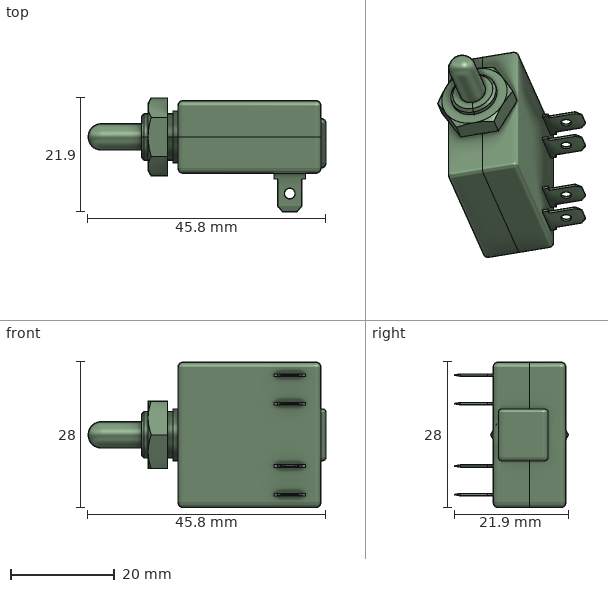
import cadquery as cq
import math


HOUSING_LENGTH = 27.5
HOUSING_WIDTH = 14.0
HOUSING_HEIGHT = 28.0
HOUSING_ROUND = 1.0

COLLAR_DIAMETER = 10.0
COLLAR_LENGTH = 1.0
BUSHING_DIAMETER = 9.0
BUSHING_LENGTH = 7.0
BUSHING_CHAMFER = 0.5

NUT_ACROSS_FLATS = 13.0
NUT_THICKNESS = 3.75
NUT_STANDOFF = 2.0
NUT_CHAMFER_ANGLE = 30.0

LEVER_DIAMETER = 5.1
LEVER_REACH = 17.3

PAD_THICKNESS = 1.0
PAD_TOP_Y = 3.55
PAD_BOTTOM_Y = -6.0
PAD_HEIGHT = 10.0
PAD_SIDE_ROUND = 1.0
PAD_END_ROUND = 0.7

TERMINAL_HEIGHTS = [-11.5, -6.0, 6.0, 11.5]
TERMINAL_X = HOUSING_LENGTH - 6.0
TERMINAL_THICKNESS = 0.5
TERMINAL_LENGTH = 7.4
SHOULDER_WIDTH = 6.1
SHOULDER_LENGTH = 1.1
BLADE_WIDTH = 4.7
TIP_LENGTH = 1.1
TIP_WIDTH = 2.8
TIP_THICKNESS = 0.1
TERMINAL_HOLE_DIAMETER = 2.0
TERMINAL_HOLE_DISTANCE = 3.9


def rod(diameter, x_start, x_end):
    """Cylinder on the lever axis."""
    return cq.Workplane("YZ", origin=(x_start, 0, 0)).circle(diameter / 2).extrude(x_end - x_start)


def make_pad():
    """Outer slice of a thicker rounded block, so that its roundings run out into the back face."""
    block_thickness = 3 * PAD_THICKNESS
    pad_width = PAD_TOP_Y - PAD_BOTTOM_Y
    pad_centre_y = (PAD_TOP_Y + PAD_BOTTOM_Y) / 2
    block = (
        cq.Workplane("XY")
        .box(block_thickness, pad_width, PAD_HEIGHT)
        .translate((HOUSING_LENGTH + PAD_THICKNESS - block_thickness / 2, pad_centre_y, 0))
        .edges("|Z")
        .fillet(PAD_SIDE_ROUND)
        .faces("<Z or >Z")
        .edges()
        .fillet(PAD_END_ROUND)
    )
    slice_behind_housing = (
        cq.Workplane("YZ", origin=(HOUSING_LENGTH, 0, 0))
        .rect(HOUSING_WIDTH, HOUSING_HEIGHT)
        .extrude(PAD_THICKNESS)
    )
    return block.intersect(slice_behind_housing)


def make_terminal(z):
    """Blade terminal with shoulders, a hole and a tip tapered in width and in thickness."""
    face_y = -HOUSING_WIDTH / 2
    shoulder_y = face_y - SHOULDER_LENGTH
    tip_y = face_y - TERMINAL_LENGTH
    taper_y = tip_y + TIP_LENGTH
    half_outline = [
        (SHOULDER_WIDTH / 2, face_y),
        (SHOULDER_WIDTH / 2, shoulder_y),
        (BLADE_WIDTH / 2, shoulder_y),
        (BLADE_WIDTH / 2, taper_y),
        (TIP_WIDTH / 2, tip_y),
    ]
    mirrored_outline = [(-x, y) for x, y in reversed(half_outline)]
    blade = (
        cq.Workplane("XY", origin=(TERMINAL_X, 0, z))
        .polyline(half_outline + mirrored_outline)
        .close()
        .extrude(TERMINAL_THICKNESS / 2, both=True)
    )
    edge_profile = (
        cq.Workplane("YZ", origin=(TERMINAL_X, 0, z))
        .polyline([
            (face_y, TERMINAL_THICKNESS / 2),
            (taper_y, TERMINAL_THICKNESS / 2),
            (tip_y, TIP_THICKNESS / 2),
            (tip_y, -TIP_THICKNESS / 2),
            (taper_y, -TERMINAL_THICKNESS / 2),
            (face_y, -TERMINAL_THICKNESS / 2),
        ])
        .close()
        .extrude(SHOULDER_WIDTH / 2, both=True)
    )
    hole = (
        cq.Workplane("XY", origin=(TERMINAL_X, face_y - TERMINAL_HOLE_DISTANCE, z))
        .circle(TERMINAL_HOLE_DIAMETER / 2)
        .extrude(TERMINAL_THICKNESS, both=True)
    )
    return blade.intersect(edge_profile).cut(hole)


def make_full_housing():
    """Rounded box with collar, bushing and lever hole, before it is split."""
    box = (
        cq.Workplane("XY")
        .box(HOUSING_LENGTH, HOUSING_WIDTH, HOUSING_HEIGHT, centered=(False, True, True))
        .edges()
        .fillet(HOUSING_ROUND)
    )
    collar = rod(COLLAR_DIAMETER, -COLLAR_LENGTH, 0)
    bushing = rod(BUSHING_DIAMETER, -BUSHING_LENGTH, 0).faces("<X").chamfer(BUSHING_CHAMFER)
    return box.union(collar).union(bushing).cut(rod(LEVER_DIAMETER, -BUSHING_LENGTH, 0))


def make_housing_half(side):
    """Half of the housing on the +Y side (side = 1) or the -Y side (side = -1)."""
    length = HOUSING_LENGTH + BUSHING_LENGTH
    half_space = cq.Workplane("XY").box(length, HOUSING_WIDTH, HOUSING_HEIGHT).translate(
        (HOUSING_LENGTH - length / 2, side * HOUSING_WIDTH / 2, 0)
    )
    return make_full_housing().intersect(half_space)


def make_terminal_housing():
    """The -Y housing half, which carries the terminals and the back pad."""
    half = make_housing_half(-1).union(make_pad())
    for z in TERMINAL_HEIGHTS:
        half = half.union(make_terminal(z))
    return half


def make_nut():
    """Hexagonal nut with its front corners cut by a cone that touches the flats."""
    corner_radius = NUT_ACROSS_FLATS / math.sqrt(3)
    flat_radius = NUT_ACROSS_FLATS / 2
    chamfer_depth = (corner_radius - flat_radius) * math.tan(math.radians(NUT_CHAMFER_ANGLE))
    back_x = -NUT_STANDOFF
    front_x = back_x - NUT_THICKNESS
    hexagon = (
        cq.Workplane("YZ", origin=(front_x, 0, 0)).polygon(6, 2 * corner_radius).extrude(NUT_THICKNESS)
    )
    cone_blank = (
        cq.Workplane("XY")
        .polyline([
            (front_x, 0),
            (front_x, flat_radius),
            (front_x + chamfer_depth, corner_radius),
            (back_x, corner_radius),
            (back_x, 0),
        ])
        .close()
        .revolve(360, (0, 0, 0), (1, 0, 0))
    )
    return hexagon.intersect(cone_blank).cut(rod(BUSHING_DIAMETER, front_x, back_x))


def make_lever():
    """Round lever with a hemispherical tip."""
    tip_radius = LEVER_DIAMETER / 2
    tip_centre_x = -LEVER_REACH + tip_radius
    tip = cq.Workplane("XY", origin=(tip_centre_x, 0, 0)).sphere(tip_radius)
    return rod(LEVER_DIAMETER, tip_centre_x, 0).union(tip)


terminal_housing = make_terminal_housing()
plain_housing = make_housing_half(1)
nut = make_nut()
lever = make_lever()

result = cq.Compound.makeCompound([
    terminal_housing.val(),
    plain_housing.val(),
    nut.val(),
    lever.val(),
])